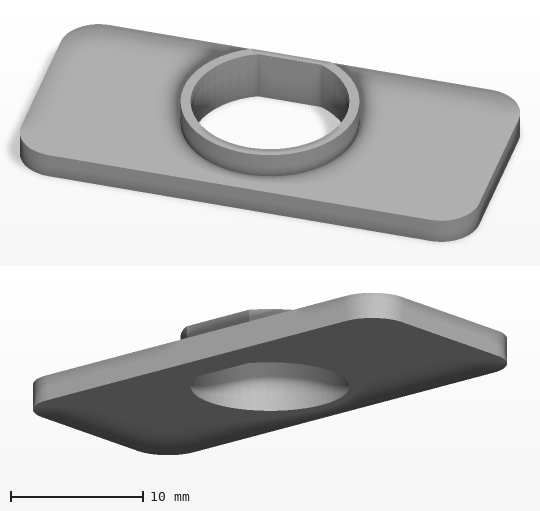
import cadquery as cq

plate_length = 36.0
plate_width = 17.0
corner_radius = 3.0
total_height = 4.0
plate_thickness = total_height / 2

collar_radius = 6.75
collar_flat_y = 6.0
bore_radius = 6.0
bore_flat_y = 5.47


def d_shaped_prism(radius, flat_y, height):
    """Cylinder standing on Z = 0, cut off by a flat at Y = flat_y."""
    cylinder = cq.Workplane("XY").circle(radius).extrude(height)
    kept_depth = radius + flat_y
    kept_block = (
        cq.Workplane("XY")
        .center(0, flat_y - kept_depth / 2)
        .rect(2 * radius, kept_depth)
        .extrude(height)
    )
    return cylinder.intersect(kept_block)


plate = (
    cq.Workplane("XY")
    .rect(plate_length, plate_width)
    .extrude(plate_thickness)
    .edges("|Z")
    .fillet(corner_radius)
)
collar = d_shaped_prism(collar_radius, collar_flat_y, total_height)
bore = d_shaped_prism(bore_radius, bore_flat_y, total_height)

result = plate.union(collar).cut(bore)